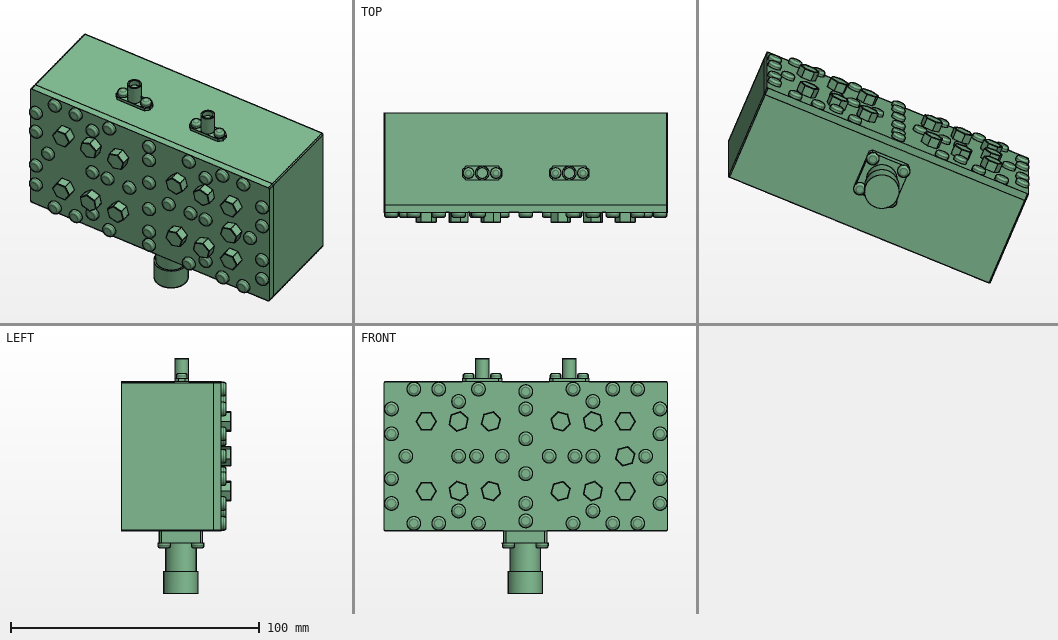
import cadquery as cq
import math

BOX_WIDTH = 114.1
BOX_HEIGHT = 60.1
HOUSING_DEPTH = 37.1
LID_THICKNESS = 3.0
EDGE_CHAMFER = 0.5

SCREW_HEAD_HEIGHT = 2.0
SCREW_ROUNDING = 1.0

LID_SCREW_DIAMETER = 5.53
HEX_CORNER_DIAMETER = 8.08
HEX_HEIGHT = 4.0
HEX_RIM_CHAMFER = 0.2
HEX_COLUMNS_X = (14.0, 27.0, 40.0)
HEX_TURNS = (15.0, 19.0, 0.0)
HEX_ROW_Z = 14.0

SOCKET_X = 17.5
SOCKET_Y = 12.85
SOCKET_FLANGE_LENGTH = 16.0
SOCKET_FLANGE_WIDTH = 5.53
SOCKET_FLANGE_THICKNESS = 1.3
SOCKET_FLANGE_CHAMFER = 1.5
SOCKET_HEIGHT = 9.2
SOCKET_DIAMETER = 5.53
SOCKET_BORE = 4.33
SOCKET_BORE_DEPTH = 2.35
SOCKET_SCREW_OFFSET = 5.5
SOCKET_SCREW_DIAMETER = 4.33

PLUG_X = -0.2
PLUG_Y = 13.15
PLUG_FLANGE_SIZE = 17.5
PLUG_FLANGE_HEIGHT = 4.9
PLUG_FLANGE_CHAMFER = 1.0
PLUG_NECK_DIAMETER = 12.4
PLUG_NECK_LENGTH = 11.35
PLUG_COLLAR_DIAMETER = 13.88
PLUG_COLLAR_LENGTH = 8.9
PLUG_SCREW_OFFSET = 6.75
PLUG_SCREW_DIAMETER = 5.0


def mirrored(x, z):
    """Every distinct mirror image of a point about its two axes."""
    return sorted({(sx * x, sz * z) for sx in (-1, 1) for sz in (-1, 1)})


def screw_head(diameter):
    """A pan head standing on the XY plane, its rim rounded down to a flat top."""
    return (
        cq.Workplane("XY")
        .circle(diameter / 2)
        .extrude(SCREW_HEAD_HEIGHT)
        .faces(">Z")
        .edges()
        .fillet(SCREW_ROUNDING)
    )


def box_slab(y_front, y_back):
    """A slice of the box between two depths, with chamfered edges along Y."""
    return (
        cq.Workplane("XZ", origin=(0, y_back, 0))
        .rect(BOX_WIDTH, BOX_HEIGHT)
        .extrude(y_back - y_front)
        .edges("|Y")
        .chamfer(EDGE_CHAMFER)
    )


def socket():
    """A coaxial socket standing on the XY plane, with its flange and two screws."""
    body = (
        cq.Workplane("XY")
        .rect(SOCKET_FLANGE_LENGTH, SOCKET_FLANGE_WIDTH)
        .extrude(SOCKET_FLANGE_THICKNESS)
        .edges("|Z")
        .chamfer(SOCKET_FLANGE_CHAMFER)
    )
    bore_floor = SOCKET_HEIGHT - SOCKET_BORE_DEPTH
    barrel = cq.Workplane("XY").circle(SOCKET_DIAMETER / 2).extrude(SOCKET_HEIGHT)
    bore = (
        cq.Workplane("XY", origin=(0, 0, bore_floor))
        .circle(SOCKET_BORE / 2)
        .extrude(SOCKET_BORE_DEPTH)
    )
    body = body.union(barrel).cut(bore)
    head = screw_head(SOCKET_SCREW_DIAMETER)
    for x in (-SOCKET_SCREW_OFFSET, SOCKET_SCREW_OFFSET):
        body = body.union(head.translate((x, 0, SOCKET_FLANGE_THICKNESS)))
    return body


def plug():
    """A coaxial plug standing on the XY plane, with its square flange and four screws."""
    body = (
        cq.Workplane("XY")
        .rect(PLUG_FLANGE_SIZE, PLUG_FLANGE_SIZE)
        .extrude(PLUG_FLANGE_HEIGHT)
        .edges("|Z")
        .chamfer(PLUG_FLANGE_CHAMFER)
        .faces(">Z")
        .workplane()
        .circle(PLUG_NECK_DIAMETER / 2)
        .extrude(PLUG_NECK_LENGTH)
        .faces(">Z")
        .workplane()
        .circle(PLUG_COLLAR_DIAMETER / 2)
        .extrude(PLUG_COLLAR_LENGTH)
    )
    head = screw_head(PLUG_SCREW_DIAMETER)
    for x, y in mirrored(PLUG_SCREW_OFFSET, PLUG_SCREW_OFFSET):
        body = body.union(head.translate((x, y, PLUG_FLANGE_HEIGHT)))
    return body


def make_housing():
    """The box with two sockets on its top wall and the plug under its bottom wall."""
    body = box_slab(0, HOUSING_DEPTH)
    for x in (-SOCKET_X, SOCKET_X):
        body = body.union(socket().translate((x, SOCKET_Y, BOX_HEIGHT / 2)))
    hanging_plug = plug().rotate((0, 0, 0), (1, 0, 0), 180)
    return body.union(hanging_plug.translate((PLUG_X, PLUG_Y, -BOX_HEIGHT / 2)))


def lid_screw_points():
    """The (x, z) places of the lid screws, from one quadrant of the pattern."""
    quadrant = [
        (19, 27), (35, 27), (45, 27),
        (54, 19), (54, 9),
        (0, 26), (0, 19), (0, 7),
        (9.4, 0), (19.8, 0), (27, 0), (48.2, 0),
        (27, 22),
    ]
    return sorted({point for x, z in quadrant for point in mirrored(x, z)})


def hex_head(x, z, turn):
    """A hexagonal head on the lid face, turned about its own axis."""
    return (
        cq.Workplane("XY")
        .polygon(6, HEX_CORNER_DIAMETER)
        .extrude(HEX_HEIGHT)
        .faces(">Z")
        .chamfer(HEX_RIM_CHAMFER)
        .rotate((0, 0, 0), (0, 0, 1), turn)
        .rotate((0, 0, 0), (1, 0, 0), 90)
        .translate((x, -LID_THICKNESS, z))
    )


def make_lid():
    """The cover plate with its screws and hexagonal heads."""
    body = box_slab(-LID_THICKNESS, 0)
    head = screw_head(LID_SCREW_DIAMETER).rotate((0, 0, 0), (1, 0, 0), 90)
    for x, z in lid_screw_points():
        body = body.union(head.translate((x, -LID_THICKNESS, z)))
    for column_x, turn in zip(HEX_COLUMNS_X, HEX_TURNS):
        for x, z in mirrored(column_x, HEX_ROW_Z):
            body = body.union(hex_head(x, z, -turn * math.copysign(1, x * z)))
    return body.union(hex_head(HEX_COLUMNS_X[-1], 0, HEX_TURNS[0]))


housing = make_housing()
lid = make_lid()
result = cq.Compound.makeCompound([housing.val(), lid.val()])